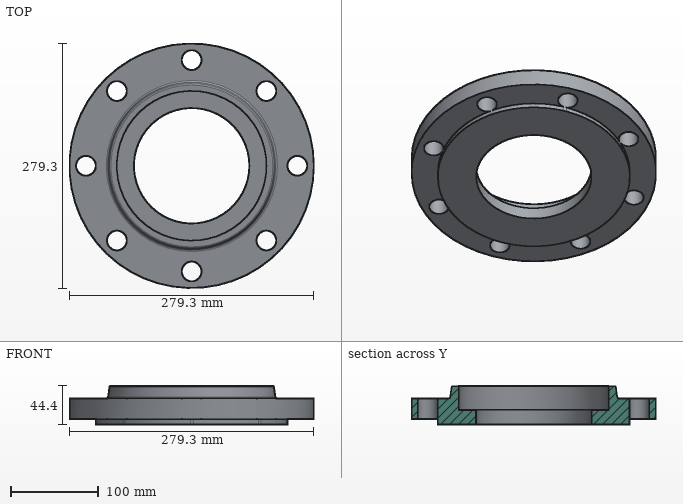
import cadquery as cq

plate_diameter = 279.3
plate_thickness = 23.7

face_diameter = 219.3
face_height = 6.5

hub_height = 14.2
hub_base_diameter = 192.0
hub_top_diameter = 187.7
hub_top_round = 1.7
hub_root_fillet = 2.0

bore_diameter = 131.5
socket_diameter = 171.0
socket_depth = 27.5

bolt_count = 8
bolt_circle_diameter = 241.3
bolt_hole_diameter = 22.3

plate_bottom = face_height
plate_top = plate_bottom + plate_thickness
hub_top = plate_top + hub_height


def revolved_body():
    """Raised face, plate and tapered hub, turned as one solid about Z."""
    profile = (
        cq.Workplane("XZ")
        .lineTo(face_diameter / 2, 0)
        .lineTo(face_diameter / 2, plate_bottom)
        .lineTo(plate_diameter / 2, plate_bottom)
        .lineTo(plate_diameter / 2, plate_top)
        .lineTo(hub_base_diameter / 2, plate_top)
        .lineTo(hub_top_diameter / 2, hub_top)
        .lineTo(0, hub_top)
        .close()
    )
    return profile.revolve(360, (0, 0, 0), (0, 1, 0))


def soften_hub(body):
    """Round the hub's top rim and blend its foot into the plate."""
    body = body.faces(">Z").edges().fillet(hub_top_round)
    plate_top_face = body.faces("+Z").faces("<Z")
    hub_foot = plate_top_face.edges(cq.selectors.RadiusNthSelector(0))
    return hub_foot.fillet(hub_root_fillet)


def cut_bore_and_socket(body):
    """Cut the through bore and the stepped socket above it."""
    bore = cq.Workplane("XY").circle(bore_diameter / 2).extrude(hub_top)
    socket = (
        cq.Workplane("XY")
        .workplane(offset=hub_top - socket_depth)
        .circle(socket_diameter / 2)
        .extrude(socket_depth)
    )
    return body.cut(bore).cut(socket)


def cut_bolt_holes(body):
    """Drill the bolt holes; they just nick the rim of the raised face."""
    holes = (
        cq.Workplane("XY")
        .polarArray(bolt_circle_diameter / 2, 0, 360, bolt_count)
        .circle(bolt_hole_diameter / 2)
        .extrude(plate_top)
    )
    return body.cut(holes)


result = cut_bolt_holes(cut_bore_and_socket(soften_hub(revolved_body())))